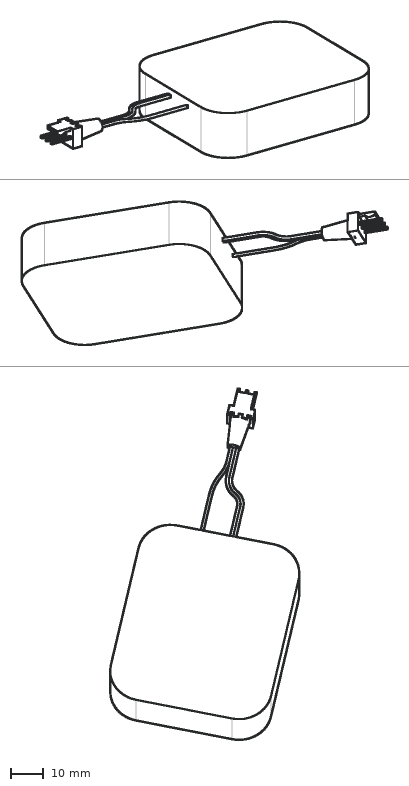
import cadquery as cq
import math


total_length = 110.0
total_height = 16.0

housing_width = 50.0
housing_length = 60.0
housing_height = 15.1
housing_corner_radius = 10.0

plug_width = 8.0
plug_height = 6.6
plug_length = 3.3
plug_x = 3.8
plug_z = total_height - plug_height / 2

pin_count = 3
pin_pitch = 2.6
pin_size = 0.71
pin_length = 7.4
pin_tip_chamfer = 0.2
pin_offsets = [(i - (pin_count - 1) / 2) * pin_pitch for i in range(pin_count)]

latch_width = 5.4
latch_length = 5.0
latch_thickness = 1.0
latch_bump_length = 3.1
latch_bump_depth = 0.7

slot_width = 1.1
slot_depth = 1.05

boot_length = 9.0
boot_rear_diameter = 4.1
boot_front_diameter = 6.0

pin_tip_y = housing_length - total_length
plug_front_y = pin_tip_y + pin_length
plug_rear_y = plug_front_y + plug_length
boot_rear_y = plug_rear_y + boot_length

wire_diameter = 1.0
wire_z = 12.5
pair_start_x = -2.2
pair_bend_start_y = -11.3
pair_bend_end_y = -20.3
pair_first_radius = 4.5
single_start_x = 7.5
single_bend_start_y = -13.3
single_bend_end_y = -25.3
single_first_radius = 16.5
middle_wire_x = 3.6


def make_housing():
    block = cq.Workplane("XY").box(
        housing_width, housing_length, housing_height, centered=(True, False, False)
    )
    return block.edges("|Z").fillet(housing_corner_radius)


def make_boot():
    """Revolve the cone and its stub about the axis of the plug."""
    rear_radius = boot_rear_diameter / 2
    front_radius = boot_front_diameter / 2
    stub_end_y = plug_rear_y - slot_depth
    profile = (
        cq.Workplane("XY")
        .moveTo(0, boot_rear_y)
        .lineTo(-rear_radius, boot_rear_y)
        .lineTo(-front_radius, plug_rear_y)
        .lineTo(-front_radius, stub_end_y)
        .lineTo(0, stub_end_y)
        .close()
    )
    return profile.revolve(360, (0, 0, 0), (0, 1, 0)).translate((plug_x, 0, plug_z))


def make_latch():
    """Tongue with a rounded bump under its free end."""
    root_y = plug_front_y
    tip_y = root_y - latch_length
    under_z = total_height - latch_thickness
    profile = (
        cq.Workplane("YZ", origin=(plug_x, 0, 0))
        .moveTo(root_y, total_height)
        .lineTo(tip_y, total_height)
        .lineTo(tip_y, under_z)
        .threePointArc(
            (tip_y + latch_bump_length / 2, under_z - latch_bump_depth),
            (tip_y + latch_bump_length, under_z),
        )
        .lineTo(root_y, under_z)
        .close()
    )
    return profile.extrude(latch_width / 2, both=True)


def make_pin(offset):
    pin = cq.Workplane("XY").box(pin_size, pin_length, pin_size, centered=(True, False, True))
    pin = pin.faces("<Y").chamfer(pin_tip_chamfer)
    return pin.translate((plug_x + offset, pin_tip_y, plug_z))


def make_slot_cutter(offset):
    """Slot open to the top and the rear of the plug, reaching down to the boot's axis."""
    cutter = cq.Workplane("XY").box(
        slot_width, slot_depth, plug_height / 2, centered=(True, False, False)
    )
    return cutter.translate((plug_x + offset, plug_rear_y - slot_depth, plug_z))


def make_plug(boot):
    plug = (
        cq.Workplane("XY")
        .box(plug_width, plug_length, plug_height, centered=(True, False, True))
        .translate((plug_x, plug_front_y, plug_z))
    )
    plug = plug.union(make_latch())
    for offset in pin_offsets:
        plug = plug.union(make_pin(offset)).cut(make_slot_cutter(offset))
    return plug.cut(boot)


def make_wire(start_x, end_x, bend_start_y, bend_end_y, first_radius):
    """Sweep a round wire along its S-bend; the second radius follows from the offset."""
    shift = end_x - start_x
    side = math.copysign(1, shift)
    bend_angle = 2 * math.atan2(abs(shift), bend_start_y - bend_end_y)
    radius_sum = (bend_start_y - bend_end_y) / math.sin(bend_angle)
    second_radius = radius_sum - first_radius

    def on_first_arc(angle):
        return (
            start_x + side * first_radius * (1 - math.cos(angle)),
            bend_start_y - first_radius * math.sin(angle),
        )

    def on_second_arc(angle):
        return (
            end_x - side * second_radius * (1 - math.cos(angle)),
            bend_end_y + second_radius * math.sin(angle),
        )

    path = (
        cq.Workplane("XY", origin=(0, 0, wire_z))
        .moveTo(start_x, 0)
        .lineTo(start_x, bend_start_y)
        .threePointArc(on_first_arc(bend_angle / 2), on_first_arc(bend_angle))
        .threePointArc(on_second_arc(bend_angle / 2), (end_x, bend_end_y))
        .lineTo(end_x, boot_rear_y)
    )
    section = cq.Workplane("XZ", origin=(start_x, 0, wire_z)).circle(wire_diameter / 2)
    return section.sweep(path)


def make_pair_wires():
    """Two touching wires that bend together about shared arc centres."""
    wires = []
    pair_end_x = middle_wire_x - wire_diameter / 2
    for side in (-1, 1):
        offset = side * wire_diameter / 2
        wires.append(
            make_wire(
                pair_start_x + offset,
                pair_end_x + offset,
                pair_bend_start_y,
                pair_bend_end_y,
                pair_first_radius - offset,
            )
        )
    return wires


def make_single_wire():
    return make_wire(
        single_start_x,
        middle_wire_x + wire_diameter,
        single_bend_start_y,
        single_bend_end_y,
        single_first_radius,
    )


housing = make_housing()
boot = make_boot()
plug = make_plug(boot)
wires = make_pair_wires() + [make_single_wire()]

result = cq.Compound.makeCompound(
    [housing.val(), boot.val(), plug.val(), *[wire.val() for wire in wires]]
)